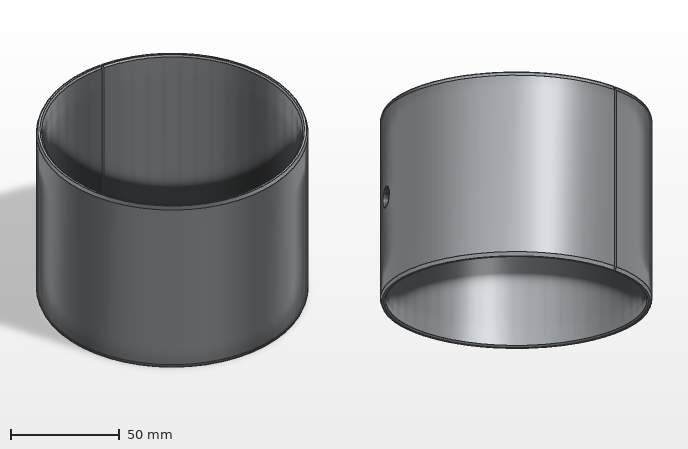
import cadquery as cq
import math

outer_diameter = 125.0
wall = 2.5
length = 90.0

outer_chamfer_length = 1.8
outer_chamfer_angle = 20.0
inner_chamfer = 0.8

joint_gap_angle = 1.0

oil_hole_diameter = 10.0
oil_hole_from_joint = 120.0

outer_radius = outer_diameter / 2
inner_radius = outer_radius - wall
half_length = length / 2
outer_chamfer_depth = outer_chamfer_length * math.tan(math.radians(outer_chamfer_angle))
wrap_angle = 360 - joint_gap_angle
oil_hole_angle = 180 - joint_gap_angle - oil_hole_from_joint


def make_sleeve():
    """Wrap the chamfered wall section about Z, leaving the joint open."""
    outer_shoulder = half_length - outer_chamfer_length
    inner_shoulder = half_length - inner_chamfer
    face_outer = outer_radius - outer_chamfer_depth
    face_inner = inner_radius + inner_chamfer
    section = (
        cq.Workplane("XZ")
        .moveTo(outer_radius, -outer_shoulder)
        .lineTo(outer_radius, outer_shoulder)
        .lineTo(face_outer, half_length)
        .lineTo(face_inner, half_length)
        .lineTo(inner_radius, inner_shoulder)
        .lineTo(inner_radius, -inner_shoulder)
        .lineTo(face_inner, -half_length)
        .lineTo(face_outer, -half_length)
        .close()
    )
    wrapped = section.revolve(wrap_angle, (0, 0, 0), (0, 1, 0))
    return wrapped.rotate((0, 0, 0), (0, 0, 1), 180)


def make_oil_hole_cutter():
    """Cylinder from the axis outward through one side of the wall."""
    return (
        cq.Workplane("YZ")
        .circle(oil_hole_diameter / 2)
        .extrude(outer_diameter)
        .rotate((0, 0, 0), (0, 0, 1), oil_hole_angle)
    )


result = make_sleeve().cut(make_oil_hole_cutter())